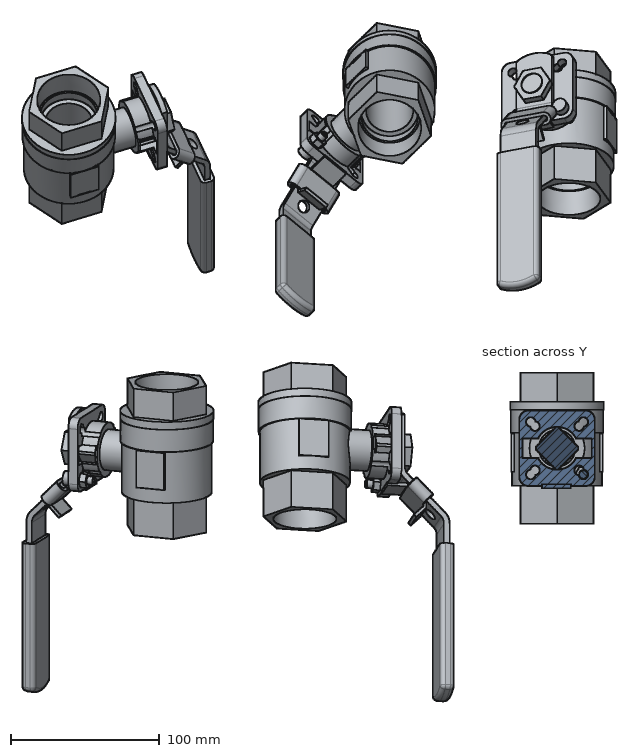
import cadquery as cq
import math


HALF_HEIGHT = 50.9
HEX_FLATS = 49.3
COLLAR_TOP = 31.2
CAP_SEAT = 26.0
COLLAR_BOTTOM = 10.3
BARREL_BOTTOM = -25.2
CAP_RADIUS = 31.5
COLLAR_RADIUS = 31.2
BARREL_RADIUS = 30.4
PAD_REACH = 30.8
PAD_WIDTH = 20.0
PAD_TOP = 9.8
PAD_BOTTOM = -15.8

THREAD_RADIUS = 21.2
THREAD_ROOT_RADIUS = 20.5
THREAD_DEPTH = 17.9
RELIEF_RADIUS = 19.2
RELIEF_DEPTH = 25.2
PORT_RADIUS = 15.8

NECK_RADIUS = 13.8
BOSS_RADIUS = 18.5
BOSS_START = 43.0
PLATE_START = 54.5
PLATE_END = 61.2
PLATE_SIZE = 50.9
PLATE_CORNER = 6.2
MOUNT_HOLE_RADIUS = 3.1
OUTER_BOLT_CIRCLE = 25.0
INNER_BOLT_CIRCLE = 21.0
WINDOW_START = 44.5
WINDOW_END = 59.0
WINDOW_HEIGHT = 13.0
WINDOW_REACH = 23.2

STEM_RADIUS = 7.4
STEM_BOTTOM = 22.3
STEM_TIP = 71.9
SHOULDER_START = 46.5
SHOULDER_CORNERS = 30.4
SHOULDER_TURNED_RADIUS = 14.3
SHOULDER_FOOT_RADIUS = 12.3
NUT_FLATS = 22.3
NUT_END = 71.2

SIDE_SHIFT = 0.5
STRIP = 4.0
LEVER_WIDTH = 25.5
HEAD_START = 61.8
HEAD_TOP = 26.5
HEAD_SHOULDER = 22.5
BLADE_MIDDLE = 94.6
SLOPE_SUM = 46.2
BLADE_END = -156.2
INNER_BEND = 6.7
LOCK_HOLE_RADIUS = 4.2
LOCK_HOLE_Y = 87.3

GRIP_WIDTH = 30.1
GRIP_THICKNESS = 9.5
GRIP_OUTER_FACE = 99.5
GRIP_TOP = -66.7
OVERALL_HEIGHT = 223.2
GRIP_BOTTOM = HALF_HEIGHT - OVERALL_HEIGHT
GRIP_END_SAG = 4.0
GRIP_ROUNDING = 3.1

SLIDE_WIDTH = 35.3
SLIDE_WALL = 2.5
SLIDE_LENGTH = 15.8
SLIDE_Y = 76.3
TAB_WIDTH = 19.6
TAB_SETBACK = 10.0
TAB_TIP = 14.0
TONGUE_MIDDLE = -25.7

STOP_SHANK_RADIUS = 3.0
STOP_HEAD_RADIUS = 5.0
STOP_HEAD_HEIGHT = 5.4
STOP_TIP = 44.9
STOP_TIP_CHAMFER = 1.0
STOP_NUT_CORNERS = 11.2
STOP_NUT_HEIGHT = 4.7

HEX_CORNERS = HEX_FLATS / math.cos(math.pi / 6)
NUT_CORNERS = NUT_FLATS / math.cos(math.pi / 6)
HEAD_END = HEAD_START + STRIP
STOP_OFFSET = OUTER_BOLT_CIRCLE / math.sqrt(2)


def plane_at_y(y, x=0, z=0):
    """Workplane facing +Y whose local x is -X and whose local y is Z."""
    return cq.Workplane(cq.Plane(origin=(x, y, z), xDir=(-1, 0, 0), normal=(0, 1, 0)))


def rod_y(radius, y_start, y_end, x=0, z=0):
    return plane_at_y(y_start, x, z).circle(radius).extrude(y_end - y_start)


def hex_y(corners, y_start, y_end, x=0, z=0):
    return plane_at_y(y_start, x, z).polygon(6, corners).extrude(y_end - y_start)


def rod_z(radius, z_start, z_end):
    return cq.Workplane("XY").workplane(offset=z_start).circle(radius).extrude(z_end - z_start)


def hex_z(z_start, z_end):
    """Spanner hexagon with corners on the Y axis."""
    hexagon = cq.Workplane("XY").workplane(offset=z_start).polygon(6, HEX_CORNERS).extrude(z_end - z_start)
    return hexagon.rotate((0, 0, 0), (0, 0, 1), 90)


def flow_passage():
    half = (
        cq.Workplane("XZ")
        .moveTo(0, 0)
        .lineTo(PORT_RADIUS, 0)
        .lineTo(PORT_RADIUS, HALF_HEIGHT - RELIEF_DEPTH)
        .lineTo(RELIEF_RADIUS, HALF_HEIGHT - RELIEF_DEPTH)
        .lineTo(RELIEF_RADIUS, HALF_HEIGHT - THREAD_DEPTH)
        .lineTo(THREAD_ROOT_RADIUS, HALF_HEIGHT - THREAD_DEPTH)
        .lineTo(THREAD_RADIUS, HALF_HEIGHT)
        .lineTo(0, HALF_HEIGHT)
        .close()
        .revolve(360, (0, 0, 0), (0, 1, 0))
    )
    return half.union(half.mirror("XY"))


def mount_holes():
    """Two holes at each corner of the plate; the inner ones also groove the boss."""
    holes = cq.Workplane("XY")
    for circle_radius in (OUTER_BOLT_CIRCLE, INNER_BOLT_CIRCLE):
        offset = circle_radius / math.sqrt(2)
        for x in (-offset, offset):
            for z in (-offset, offset):
                holes = holes.add(rod_y(MOUNT_HOLE_RADIUS, BOSS_START, PLATE_END, x, z))
    return holes.combine()


def stem_shoulder():
    """Square with its corners on X and Z turned off round, standing on a round foot."""
    square = plane_at_y(SHOULDER_START).polygon(4, SHOULDER_CORNERS).extrude(WINDOW_END - SHOULDER_START)
    square = square.intersect(rod_y(SHOULDER_TURNED_RADIUS, SHOULDER_START, WINDOW_END))
    return square.union(rod_y(SHOULDER_FOOT_RADIUS, WINDOW_START, SHOULDER_START))


def stem_housing():
    plate = (
        plane_at_y(PLATE_START)
        .rect(PLATE_SIZE, PLATE_SIZE)
        .extrude(PLATE_END - PLATE_START)
        .edges("|Y")
        .fillet(PLATE_CORNER)
    )
    housing = rod_y(NECK_RADIUS, 0, BOSS_START)
    housing = housing.union(rod_y(BOSS_RADIUS, BOSS_START, PLATE_START)).union(plate)
    window = plane_at_y(WINDOW_START).rect(2 * WINDOW_REACH, WINDOW_HEIGHT).extrude(WINDOW_END - WINDOW_START)
    shoulder_bore = rod_y(SHOULDER_TURNED_RADIUS, WINDOW_START, WINDOW_END)
    return housing.cut(window).cut(shoulder_bore).cut(mount_holes())


def make_body():
    barrel = rod_z(BARREL_RADIUS, BARREL_BOTTOM, COLLAR_BOTTOM)
    collar = rod_z(COLLAR_RADIUS, COLLAR_BOTTOM, CAP_SEAT)
    pads = (
        cq.Workplane("XY")
        .workplane(offset=PAD_BOTTOM)
        .rect(2 * PAD_REACH, PAD_WIDTH)
        .extrude(PAD_TOP - PAD_BOTTOM)
    )
    body = hex_z(-HALF_HEIGHT, BARREL_BOTTOM).union(barrel).union(collar).union(pads)
    return body.union(stem_housing()).cut(flow_passage())


def make_cap():
    cap = rod_z(CAP_RADIUS, CAP_SEAT, COLLAR_TOP).union(hex_z(COLLAR_TOP, HALF_HEIGHT))
    return cap.cut(flow_passage())


def make_stem():
    return rod_y(STEM_RADIUS, STEM_BOTTOM, STEM_TIP).union(stem_shoulder())


def lever_strip():
    """Bent strip, first as a sharp-cornered profile and then with rounded bends."""
    half = STRIP / 2
    slope_half = half * math.sqrt(2)
    blade_inner = BLADE_MIDDLE - half
    blade_outer = BLADE_MIDDLE + half
    head_inner_bend = (HEAD_START, SLOPE_SUM - slope_half - HEAD_START)
    head_outer_bend = (HEAD_END, SLOPE_SUM + slope_half - HEAD_END)
    blade_inner_bend = (blade_inner, SLOPE_SUM - slope_half - blade_inner)
    blade_outer_bend = (blade_outer, SLOPE_SUM + slope_half - blade_outer)
    strip = (
        cq.Workplane("YZ", origin=(SIDE_SHIFT, 0, 0))
        .polyline(
            [
                (HEAD_START, HEAD_TOP),
                head_inner_bend,
                blade_inner_bend,
                (blade_inner, BLADE_END),
                (blade_outer, BLADE_END),
                blade_outer_bend,
                head_outer_bend,
                (HEAD_END, HEAD_TOP),
            ]
        )
        .close()
        .extrude(LEVER_WIDTH / 2, both=True)
    )
    outer_bend = INNER_BEND + STRIP
    bends = (
        (head_inner_bend, outer_bend),
        (head_outer_bend, INNER_BEND),
        (blade_inner_bend, INNER_BEND),
        (blade_outer_bend, outer_bend),
    )
    for (y, z), radius in bends:
        strip = strip.edges(cq.NearestToPointSelector((SIDE_SHIFT, y, z))).fillet(radius)
    return strip


def make_lever():
    half_width = LEVER_WIDTH / 2
    outline = (
        plane_at_y(0, SIDE_SHIFT)
        .moveTo(-half_width, BLADE_END)
        .lineTo(-half_width, HEAD_SHOULDER)
        .threePointArc((0, HEAD_TOP), (half_width, HEAD_SHOULDER))
        .lineTo(half_width, BLADE_END)
        .close()
        .extrude(BLADE_MIDDLE + STRIP)
    )
    lock_hole = (
        cq.Workplane(slope_plane(LOCK_HOLE_Y))
        .transformed(rotate=(90, 0, 0))
        .circle(LOCK_HOLE_RADIUS)
        .extrude(STRIP, both=True)
    )
    return lever_strip().intersect(outline).cut(lock_hole).cut(rod_y(STEM_RADIUS, HEAD_START, HEAD_END))


def slope_plane(y):
    """Plane across the slope: normal runs down the slope, local y points to its inner side."""
    return cq.Plane(origin=(SIDE_SHIFT, y, SLOPE_SUM - y), xDir=(1, 0, 0), normal=(0, 1, -1))


def make_grip():
    half_width = GRIP_WIDTH / 2
    corner_z = GRIP_BOTTOM + GRIP_END_SAG
    grip = (
        plane_at_y(GRIP_OUTER_FACE - GRIP_THICKNESS, SIDE_SHIFT)
        .moveTo(-half_width, GRIP_TOP)
        .lineTo(-half_width, corner_z)
        .threePointArc((0, GRIP_BOTTOM), (half_width, corner_z))
        .lineTo(half_width, GRIP_TOP)
        .close()
        .extrude(GRIP_THICKNESS)
    )
    grip = grip.edges("|Y").edges("<Z").fillet(GRIP_ROUNDING)
    grip = grip.faces("<Y or >Y").edges("not >Z").fillet(GRIP_ROUNDING)
    return grip


def slide_tab():
    """Finger tab: leaves the lower end of the slide and turns square to the slope."""
    inner_wall = STRIP / 2
    outer_wall = inner_wall + SLIDE_WALL
    far_face = TAB_SETBACK + SLIDE_WALL / 2
    near_face = TAB_SETBACK - SLIDE_WALL / 2
    end = SLIDE_LENGTH / 2
    side = cq.Plane(origin=(SIDE_SHIFT, SLIDE_Y, SLOPE_SUM - SLIDE_Y), xDir=(0, 1, -1), normal=(1, 0, 0))
    return (
        cq.Workplane(side)
        .polyline(
            [
                (end, -inner_wall),
                (far_face - SLIDE_WALL, -inner_wall),
                (far_face, -outer_wall),
                (far_face, -TAB_TIP),
                (near_face, -TAB_TIP),
                (near_face, -outer_wall),
                (end, -outer_wall),
            ]
        )
        .close()
        .extrude(TAB_WIDTH / 2, both=True)
    )


def lock_tongue():
    """Flat tongue from the upper end of the slide into the notch of the mounting plate."""
    bottom = TONGUE_MIDDLE - SLIDE_WALL / 2
    top = TONGUE_MIDDLE + SLIDE_WALL / 2
    end_step = SLIDE_LENGTH / 2 / math.sqrt(2)
    end_y = SLIDE_Y - end_step
    end_z = SLOPE_SUM - SLIDE_Y + end_step
    inner_step = STRIP / 2 / math.sqrt(2)
    outer_step = (STRIP / 2 + SLIDE_WALL) / math.sqrt(2)
    return (
        cq.Workplane("YZ", origin=(SIDE_SHIFT, 0, 0))
        .polyline(
            [
                (end_y - inner_step, end_z - inner_step),
                (end_y - inner_step - (top - end_z + inner_step), top),
                (PLATE_START, top),
                (PLATE_START, bottom),
                (end_y - outer_step, bottom),
                (end_y - outer_step, end_z - outer_step),
            ]
        )
        .close()
        .extrude(TAB_WIDTH / 2, both=True)
    )


def make_slide():
    sleeve = (
        cq.Workplane(slope_plane(SLIDE_Y))
        .slot2D(SLIDE_WIDTH, STRIP + 2 * SLIDE_WALL)
        .slot2D(SLIDE_WIDTH - 2 * SLIDE_WALL, STRIP)
        .extrude(SLIDE_LENGTH / 2, both=True)
    )
    return sleeve.union(slide_tab()).union(lock_tongue())


def make_stop_bolt():
    shank = rod_y(STOP_SHANK_RADIUS, STOP_TIP, PLATE_END, -STOP_OFFSET, -STOP_OFFSET)
    shank = shank.faces("<Y").chamfer(STOP_TIP_CHAMFER)
    head = rod_y(STOP_HEAD_RADIUS, PLATE_END, PLATE_END + STOP_HEAD_HEIGHT, -STOP_OFFSET, -STOP_OFFSET)
    return shank.union(head)


def make_stop_nut():
    nut = hex_y(STOP_NUT_CORNERS, PLATE_START - STOP_NUT_HEIGHT, PLATE_START, -STOP_OFFSET, -STOP_OFFSET)
    return nut.cut(rod_y(STOP_SHANK_RADIUS, STOP_TIP, PLATE_END, -STOP_OFFSET, -STOP_OFFSET))


def make_stem_nut():
    return hex_y(NUT_CORNERS, HEAD_END, NUT_END).cut(rod_y(STEM_RADIUS, HEAD_END, NUT_END))


stem = make_stem()
slide = make_slide()
body = make_body().cut(stem).cut(slide)
cap = make_cap()
stem_nut = make_stem_nut()
lever = make_lever()
grip = make_grip().cut(lever)
stop_bolt = make_stop_bolt()
stop_nut = make_stop_nut()

bodies = [body, cap, stem, stem_nut, lever, grip, slide, stop_bolt, stop_nut]
result = cq.Compound.makeCompound([part.solids().val() for part in bodies])